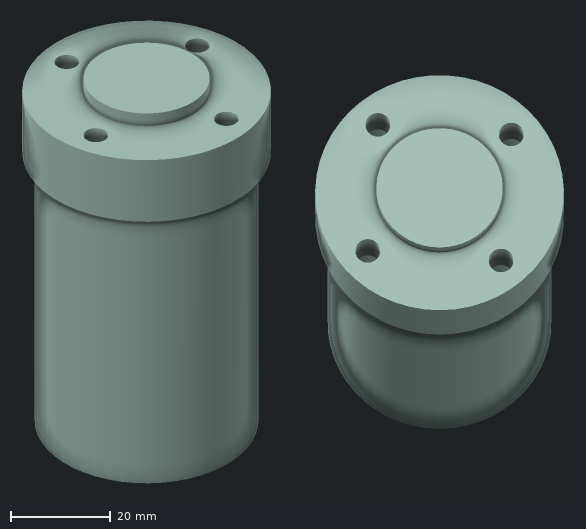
import cadquery as cq
import math

total_height = 83.2
flange_height = 15.0
boss_height = 3.0
body_height = total_height - flange_height - boss_height

body_diameter = 45.0
flange_diameter = 50.0
boss_diameter = 25.4

hole_count = 4
hole_diameter = 5.0
hole_circle_diameter = 38.0
hole_depth = 10.0
drill_point_angle = 118.0

flange_top = body_height + flange_height


def cylinder(diameter, height, base_z):
    """Upright cylinder centred on the Z axis."""
    return cq.Workplane("XY").workplane(offset=base_z).circle(diameter / 2).extrude(height)


def drilled_hole():
    """Cutter for one hole on the Z axis, opening at the flange top and ending in a cone."""
    radius = hole_diameter / 2
    tip_length = radius / math.tan(math.radians(drill_point_angle / 2))
    wall_bottom = flange_top - hole_depth
    return (
        cq.Workplane("XZ")
        .moveTo(0, flange_top)
        .lineTo(radius, flange_top)
        .lineTo(radius, wall_bottom)
        .lineTo(0, wall_bottom - tip_length)
        .close()
        .revolve(360, (0, 0, 0), (0, 1, 0))
    )


body = cylinder(body_diameter, body_height, 0)
flange = cylinder(flange_diameter, flange_height, body_height)
boss = cylinder(boss_diameter, boss_height, flange_top)
result = body.union(flange).union(boss)

for index in range(hole_count):
    hole = drilled_hole().translate((hole_circle_diameter / 2, 0, 0))
    result = result.cut(hole.rotate((0, 0, 0), (0, 0, 1), index * 360 / hole_count))